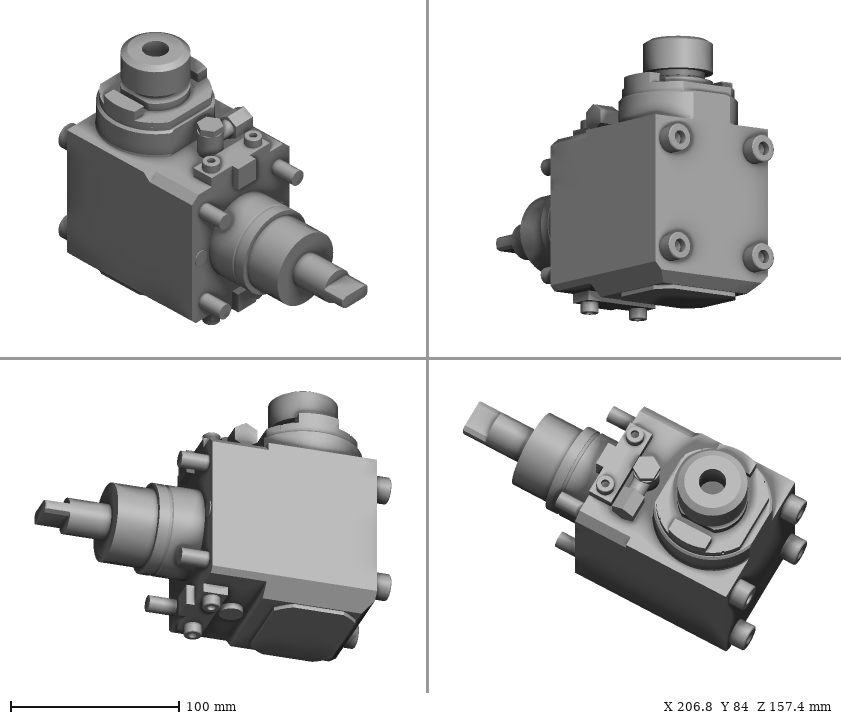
import cadquery as cq
import math


body_length = 102.7
body_width = 84.0
body_top = 46.7
body_bottom = -52.8
bottom_side_chamfer = 10.8
bottom_end_chamfer = 6.3
step_x = -34.8
step_bottom = -45.3
top_chamfer_width = 5.6
top_chamfer_height = 4.8

spindle_x = -70.0
collar_radius = 35.4
collar_top = 64.2
collar_edge_drop = 1.2
collar_edge_inset = 1.3
collar_flare = 0.5
collar_right_flat = 30.3
plate_radius = 33.5
plate_half_length = 28.45
plate_top = 69.8
key_top = 76.3
key_length = 25.0
key_inner_y = 23.0
key_undercut = 0.6
key_lip_height = 0.8
rim_notch_width = 1.3
rim_notch_height = 3.2
rim_notch_depth = 0.6
rim_notch_angle = 50.0

ring_groove_radius = 22.9
ring_groove_depth = 0.3
disc_radius = 20.8
disc_half_width = 17.7
disc_top = 74.8
neck_groove_radius = 15.3
neck_groove_top = 76.8
neck_radius = 15.9
nut_radius = 20.8
nut_bottom = 80.3
nut_top = 100.16
nut_chamfer_width = 4.0
nut_chamfer_height = 2.4
nut_bore_radius = 8.1
nut_bore_depth = 20.0

pilot_radius = 27.45
pilot_end = 28.2
pilot_groove_start = 19.3
pilot_groove_end = 21.8
pilot_groove_depth = 0.6
bearing_radius = 23.95
bearing_end = 53.0
shaft_radius = 10.95
tang_start = 78.6
tang_end = 94.1
tang_half_thickness = 4.2
tang_flat_half_width = 7.8
tang_edge_half_thickness = 2.8
tang_end_chamfer = 0.6

bolt_y = 31.2
bolt_z = 32.65
bolt_head_radius = 8.1
bolt_head_height = 10.0
bolt_head_chamfer = 0.6
bolt_socket_radius = 4.0
bolt_socket_depth = 5.0
bolt_shank_radius = 5.0
bolt_shank_end = 17.0
drill_point_angle = 118.0

pad_radius = 5.0
pad_y = 34.5
pad_height = 0.6

block_length = 15.0
block_width = 50.0
block_top = 53.1
block_bottom = -50.9
tongue_thickness = 5.1
tongue_width = 15.0
tongue_end_z = 38.0
screw_x = -7.1
screw_y = 18.0
screw_radius = 5.35
screw_chamfer = 0.4
screw_top = 58.8
screw_bottom = -57.2
screw_socket_radius = 2.5
screw_socket_depth = 3.0

fitting_x = -25.15
fitting_foot_radius = 7.2
fitting_foot_top = 48.2
fitting_radius = 7.8
fitting_body_top = 62.9
fitting_top = 67.2
hex_flats = 14.1
branch_z = 57.0
branch_radius = 5.4
branch_hex_start = 14.9
branch_hex_end = 29.3
plug_radius = 7.2
plug_bottom = -49.0

cover_radius = 34.2
cover_half_length = 25.35
cover_half_width = 30.4
cover_bottom = -55.3


def box(x_range, y_range, z_range):
    """Box spanning the given pairs of limits."""
    lows, highs = zip(*(sorted(limits) for limits in (x_range, y_range, z_range)))
    size = [high - low for low, high in zip(lows, highs)]
    return cq.Workplane("XY").box(*size, centered=False).translate(lows)


def disc_z(x, y, radius, z_low, z_high):
    """Upright cylinder between two heights."""
    return cq.Workplane("XY", origin=(x, y, z_low)).circle(radius).extrude(z_high - z_low)


def disc_x(y, z, radius, x_low, x_high):
    """Cylinder parallel to X between two positions."""
    return cq.Workplane("YZ", origin=(x_low, y, z)).circle(radius).extrude(x_high - x_low)


def hex_prism(plane, origin, height):
    """Hexagonal prism with two corners on the local Y axis of the plane."""
    corner_diameter = hex_flats / math.cos(math.radians(30))
    return (
        cq.Workplane(plane, origin=origin)
        .transformed(rotate=(0, 0, 90))
        .polygon(6, corner_diameter)
        .extrude(height)
    )


def cap_head(radius, height, chamfer, socket_radius, socket_depth):
    """Cap screw head standing on Z = 0, with a round socket ending in a drill point."""
    cone_depth = socket_radius / math.tan(math.radians(drill_point_angle / 2))
    socket = (
        cq.Workplane("XZ")
        .moveTo(0, height)
        .lineTo(socket_radius, height)
        .lineTo(socket_radius, height - socket_depth)
        .lineTo(0, height - socket_depth - cone_depth)
        .close()
        .revolve(360, (0, 0, 0), (0, 1, 0))
    )
    head = cq.Workplane("XY").circle(radius).extrude(height).faces(">Z").chamfer(chamfer)
    return head.cut(socket)


def make_housing():
    half_width = body_width / 2
    side_chamfer_top = body_bottom + bottom_side_chamfer
    housing = (
        cq.Workplane("YZ", origin=(-body_length, 0, 0))
        .moveTo(-half_width, body_top)
        .lineTo(half_width, body_top)
        .lineTo(half_width, side_chamfer_top)
        .lineTo(half_width - bottom_side_chamfer, body_bottom)
        .lineTo(bottom_side_chamfer - half_width, body_bottom)
        .lineTo(-half_width, side_chamfer_top)
        .close()
        .extrude(body_length)
    )
    housing = housing.faces("<Z").edges("<X").chamfer(bottom_end_chamfer)
    housing = housing.cut(
        box((step_x, 0), (-half_width, half_width), (body_bottom, step_bottom))
    )
    for side in (-1, 1):
        wedge = (
            cq.Workplane("YZ", origin=(step_x, 0, 0))
            .moveTo(side * half_width, body_top)
            .lineTo(side * (half_width - top_chamfer_width), body_top)
            .lineTo(side * half_width, body_top - top_chamfer_height)
            .close()
            .extrude(-step_x)
        )
        housing = housing.cut(wedge)
    return housing.cut(make_chamfer_runout())


def make_chamfer_runout():
    """Slanted corner where the -Y top chamfer runs out into the housing side."""
    corner = cq.Vector(step_x, -body_width / 2, body_top)
    tips = [
        corner + cq.Vector(-top_chamfer_height, 0, 0),
        corner + cq.Vector(0, top_chamfer_width, 0),
        corner + cq.Vector(0, 0, -top_chamfer_height),
    ]
    triangles = [
        (tips[0], tips[1], tips[2]),
        (corner, tips[0], tips[1]),
        (corner, tips[1], tips[2]),
        (corner, tips[2], tips[0]),
    ]
    faces = [cq.Face.makeFromWires(cq.Wire.makePolygon(t, close=True)) for t in triangles]
    return cq.Workplane(obj=cq.Solid.makeSolid(cq.Shell.makeShell(faces)))


def make_collar():
    edge_z = collar_top - collar_edge_drop
    flare_z = body_top + collar_edge_drop
    collar = (
        cq.Workplane("XZ", origin=(spindle_x, 0, 0))
        .moveTo(0, body_top)
        .lineTo(collar_radius + collar_flare, body_top)
        .lineTo(collar_radius, flare_z)
        .lineTo(collar_radius, edge_z)
        .lineTo(collar_radius - collar_edge_inset, collar_top)
        .lineTo(0, collar_top)
        .close()
        .revolve(360, (0, 0, 0), (0, 1, 0))
    )
    kept = box(
        (-body_length, spindle_x + collar_right_flat),
        (-body_width / 2, body_width / 2),
        (body_top, collar_top),
    )
    return collar.intersect(kept)


def make_face_plate():
    plate = disc_z(spindle_x, 0, plate_radius, collar_top, key_top)
    plate = plate.intersect(
        box(
            (spindle_x - plate_half_length, spindle_x + plate_half_length),
            (-plate_radius, plate_radius),
            (collar_top, key_top),
        )
    )
    clearing = disc_z(spindle_x, 0, plate_radius, plate_top, key_top)
    key_range = (spindle_x - key_length / 2, spindle_x + key_length / 2)
    lip_z = key_top - key_lip_height
    for side in (-1, 1):
        outer_y = side * plate_radius
        stem = box(key_range, (side * (key_inner_y + key_undercut), outer_y), (plate_top, lip_z))
        lip = box(key_range, (side * key_inner_y, outer_y), (lip_z, key_top))
        clearing = clearing.cut(stem).cut(lip)
    plate = plate.cut(clearing)
    plate = plate.cut(
        disc_z(spindle_x, 0, ring_groove_radius, plate_top - ring_groove_depth, plate_top)
    )
    notch_blank = box(
        (plate_radius - rim_notch_depth, plate_radius + rim_notch_depth),
        (-rim_notch_width / 2, rim_notch_width / 2),
        (plate_top - rim_notch_height, plate_top),
    )
    for angle in (rim_notch_angle, 180 - rim_notch_angle, 180 + rim_notch_angle, -rim_notch_angle):
        notch = notch_blank.rotate((0, 0, 0), (0, 0, 1), angle)
        plate = plate.cut(notch.translate((spindle_x, 0, 0)))
    return plate


def make_spindle():
    disc_bottom = plate_top - ring_groove_depth
    disc = disc_z(spindle_x, 0, disc_radius, disc_bottom, disc_top).intersect(
        box(
            (spindle_x - disc_radius, spindle_x + disc_radius),
            (-disc_half_width, disc_half_width),
            (disc_bottom, disc_top),
        )
    )
    neck_groove = disc_z(spindle_x, 0, neck_groove_radius, disc_top, neck_groove_top)
    neck = disc_z(spindle_x, 0, neck_radius, neck_groove_top, nut_bottom)
    nut = (
        disc_z(spindle_x, 0, nut_radius, nut_bottom, nut_top)
        .faces(">Z")
        .edges()
        .chamfer(nut_chamfer_height, nut_chamfer_width)
    )
    bore = disc_z(spindle_x, 0, nut_bore_radius, nut_top - nut_bore_depth, nut_top)
    return disc.union(neck_groove).union(neck).union(nut).cut(bore)


def make_shaft():
    groove_radius = pilot_radius - pilot_groove_depth
    turned = (
        cq.Workplane("XY")
        .lineTo(0, pilot_radius)
        .lineTo(pilot_groove_start, pilot_radius)
        .lineTo(pilot_groove_start + pilot_groove_depth, groove_radius)
        .lineTo(pilot_groove_end, groove_radius)
        .lineTo(pilot_groove_end, pilot_radius)
        .lineTo(pilot_end, pilot_radius)
        .lineTo(pilot_end, bearing_radius)
        .lineTo(bearing_end, bearing_radius)
        .lineTo(bearing_end, shaft_radius)
        .lineTo(tang_end - tang_end_chamfer, shaft_radius)
        .lineTo(tang_end, shaft_radius - tang_end_chamfer)
        .lineTo(tang_end, 0)
        .close()
        .revolve(360, (0, 0, 0), (1, 0, 0))
    )
    for side in (-1, 1):
        turned = turned.cut(make_tang_relief(side))
    return turned


def make_tang_relief(side):
    """Material removed above (+1) or below (-1) the flat drive tang with its bevelled edges."""
    edge_half_width = math.sqrt(shaft_radius**2 - tang_edge_half_thickness**2)
    bevel_slope = (tang_half_thickness - tang_edge_half_thickness) / (
        edge_half_width - tang_flat_half_width
    )
    outer_half_width = 2 * edge_half_width - tang_flat_half_width
    outer_z = tang_half_thickness - bevel_slope * (outer_half_width - tang_flat_half_width)
    return (
        cq.Workplane("YZ", origin=(tang_start, 0, 0))
        .moveTo(-outer_half_width, side * shaft_radius)
        .lineTo(-outer_half_width, side * outer_z)
        .lineTo(-tang_flat_half_width, side * tang_half_thickness)
        .lineTo(tang_flat_half_width, side * tang_half_thickness)
        .lineTo(outer_half_width, side * outer_z)
        .lineTo(outer_half_width, side * shaft_radius)
        .close()
        .extrude(tang_end - tang_start)
    )


def make_mounting_bolts():
    head = cap_head(
        bolt_head_radius,
        bolt_head_height,
        bolt_head_chamfer,
        bolt_socket_radius,
        bolt_socket_depth,
    ).rotate((0, 0, 0), (0, 1, 0), -90)
    bolts = cq.Workplane("XY")
    for y in (-bolt_y, bolt_y):
        for z in (-bolt_z, bolt_z):
            bolts = bolts.union(head.translate((-body_length, y, z)))
            bolts = bolts.union(disc_x(y, z, bolt_shank_radius, 0, bolt_shank_end))
    return bolts


def make_flange_pads():
    pads = cq.Workplane("XY")
    for y in (-pad_y, pad_y):
        pads = pads.union(disc_x(y, 0, pad_radius, 0, pad_height))
    return pads


def make_locating_block(seat_z, outer_z, screw_z, tongue_z):
    """Block from seat_z to outer_z, with its tongue and two cap screws."""
    half_width = block_width / 2
    block = box((-block_length, 0), (-half_width, half_width), (seat_z, outer_z))
    half_tongue = tongue_width / 2
    block = block.union(
        box((0, tongue_thickness), (-half_tongue, half_tongue), (tongue_z, outer_z))
    )
    head = cap_head(
        screw_radius,
        abs(screw_z - outer_z),
        screw_chamfer,
        screw_socket_radius,
        screw_socket_depth,
    )
    if screw_z < outer_z:
        head = head.rotate((0, 0, 0), (1, 0, 0), 180)
    for y in (-screw_y, screw_y):
        block = block.union(head.translate((screw_x, y, outer_z)))
    return block


def make_coolant_fitting():
    foot = disc_z(fitting_x, 0, fitting_foot_radius, body_top, fitting_foot_top)
    barrel = disc_z(fitting_x, 0, fitting_radius, fitting_foot_top, fitting_body_top)
    cap = hex_prism("XY", (fitting_x, 0, fitting_body_top), fitting_top - fitting_body_top)
    branch = (
        cq.Workplane("XZ", origin=(fitting_x, 0, branch_z))
        .circle(branch_radius)
        .extrude(-branch_hex_start)
    )
    branch_nut = hex_prism(
        "XZ",
        (fitting_x, branch_hex_start, branch_z),
        branch_hex_start - branch_hex_end,
    )
    return foot.union(barrel).union(cap).union(branch).union(branch_nut)


def make_bottom_plug():
    return disc_z(fitting_x, 0, plug_radius, plug_bottom, step_bottom)


def make_bottom_cover():
    return disc_z(spindle_x, 0, cover_radius, cover_bottom, body_bottom).intersect(
        box(
            (spindle_x - cover_half_length, spindle_x + cover_half_length),
            (-cover_half_width, cover_half_width),
            (cover_bottom, body_bottom),
        )
    )


features = [
    make_collar(),
    make_face_plate(),
    make_spindle(),
    make_shaft(),
    make_mounting_bolts(),
    make_flange_pads(),
    make_locating_block(body_top, block_top, screw_top, tongue_end_z),
    make_locating_block(step_bottom, block_bottom, screw_bottom, -tongue_end_z),
    make_coolant_fitting(),
    make_bottom_plug(),
    make_bottom_cover(),
]

result = make_housing()
for feature in features:
    result = result.union(feature)